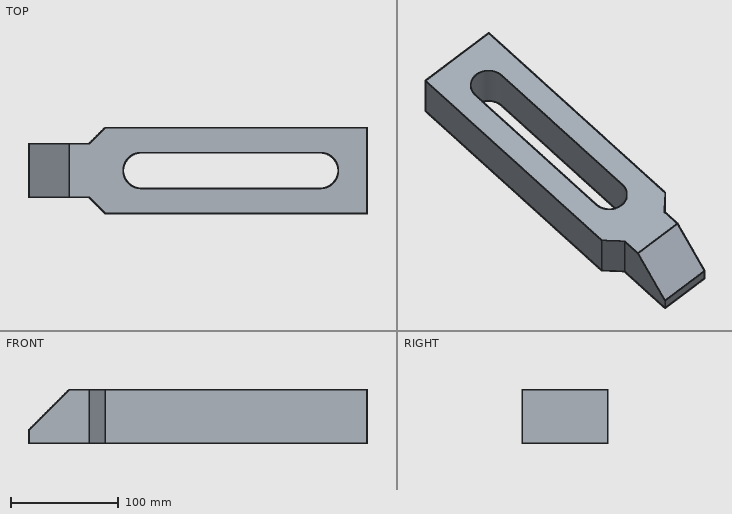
import cadquery as cq

length = 315.0
width = 80.0
height = 50.0

nose_width = 50.0
nose_length = 56.0
tip_height = 12.5
shoulder_run = (width - nose_width) / 2
ramp_run = height - tip_height

slot_length = 200.0
slot_width = 33.0
slot_end_margin = 27.0


def make_bar():
    """Extrude the plan outline: a wide bar stepping down to the nose."""
    half_width = width / 2
    half_nose = nose_width / 2
    shoulder_end = nose_length + shoulder_run
    outline = [
        (0, -half_nose),
        (nose_length, -half_nose),
        (shoulder_end, -half_width),
        (length, -half_width),
        (length, half_width),
        (shoulder_end, half_width),
        (nose_length, half_nose),
        (0, half_nose),
    ]
    return cq.Workplane("XY").polyline(outline).close().extrude(height)


def make_ramp_cutter():
    """Triangular wedge removed above the sloping face of the nose."""
    corners = [(0, tip_height), (ramp_run, height), (0, height)]
    return cq.Workplane("XZ").polyline(corners).close().extrude(nose_width / 2, both=True)


def make_slot_cutter():
    """Round-ended slot running along the bar, through its full height."""
    slot_center_x = length - slot_end_margin - slot_length / 2
    return cq.Workplane("XY").center(slot_center_x, 0).slot2D(slot_length, slot_width).extrude(height)


result = make_bar().cut(make_ramp_cutter()).cut(make_slot_cutter())